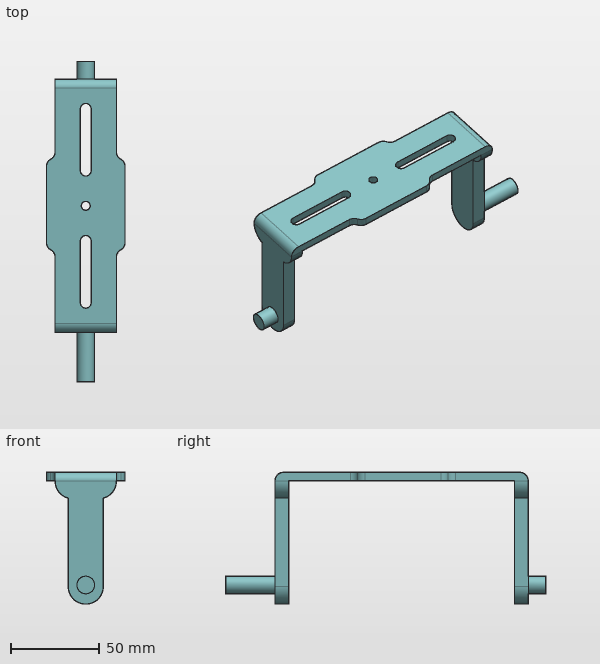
import cadquery as cq
import math

overall_length = 182.0
frame_length = 144.0
frame_height = 75.0
strap_width = 35.0
strap_thickness = 5.0
bend_radius = 5.1

middle_width = 44.8
middle_length = 43.3
middle_center_y = 0.7
step_length = 8.2

slot_width = 6.0
slot_length = 41.1
slot_spacing = 75.0
hole_diameter = 5.0

leg_width = 20.0
leg_thickness = 8.0
shoulder_radius = 10.0

pin_diameter = 10.0
pin_drop = 64.0
front_pin_length = 28.0
back_pin_length = overall_length - frame_length - front_pin_length


def step_arc_points(start, end):
    """Return a point on each arc and the joint of an S whose ends run along Y."""
    half_x = (end[0] - start[0]) / 2
    half_y = (end[1] - start[1]) / 2
    radius = (half_x**2 + half_y**2) / (2 * abs(half_x))
    half_angle = math.asin(abs(half_y) / radius) / 2
    bulge_x = math.copysign(radius * (1 - math.cos(half_angle)), half_x)
    bulge_y = math.copysign(radius * math.sin(half_angle), half_y)
    first = (start[0] + bulge_x, start[1] + bulge_y)
    joint = (start[0] + half_x, start[1] + half_y)
    last = (end[0] - bulge_x, end[1] - bulge_y)
    return first, joint, last


def add_step(outline, start, end):
    """Continue the outline from start to end with an S of two equal arcs."""
    first, joint, last = step_arc_points(start, end)
    return outline.threePointArc(first, joint).threePointArc(last, end)


def make_strap():
    narrow_x = strap_width / 2
    wide_x = middle_width / 2
    end_y = frame_length / 2
    wide_front = middle_center_y - middle_length / 2
    wide_back = middle_center_y + middle_length / 2
    step_front = wide_front - step_length
    step_back = wide_back + step_length

    outline = cq.Workplane("XY").moveTo(-narrow_x, -end_y).lineTo(narrow_x, -end_y)
    outline = outline.lineTo(narrow_x, step_front)
    outline = add_step(outline, (narrow_x, step_front), (wide_x, wide_front))
    outline = outline.lineTo(wide_x, wide_back)
    outline = add_step(outline, (wide_x, wide_back), (narrow_x, step_back))
    outline = outline.lineTo(narrow_x, end_y).lineTo(-narrow_x, end_y)
    outline = outline.lineTo(-narrow_x, step_back)
    outline = add_step(outline, (-narrow_x, step_back), (-wide_x, wide_back))
    outline = outline.lineTo(-wide_x, wide_front)
    outline = add_step(outline, (-wide_x, wide_front), (-narrow_x, step_front))
    return outline.close().extrude(-strap_thickness)


def make_leg(outer_y, inward):
    """Build a leg from its outer face, growing along the inward direction (+1 or -1)."""
    shoulder_x = strap_width / 2
    leg_x = leg_width / 2
    arc_center_x = shoulder_x - shoulder_radius
    arc_angle = math.acos((leg_x - arc_center_x) / shoulder_radius)
    arc_end_z = -bend_radius - shoulder_radius * math.sin(arc_angle)
    arc_middle_x = arc_center_x + shoulder_radius * math.cos(arc_angle / 2)
    arc_middle_z = -bend_radius - shoulder_radius * math.sin(arc_angle / 2)
    round_z = leg_x - frame_height

    return (
        cq.Workplane("XZ", origin=(0, outer_y, 0))
        .moveTo(-shoulder_x, 0)
        .lineTo(shoulder_x, 0)
        .lineTo(shoulder_x, -bend_radius)
        .threePointArc((arc_middle_x, arc_middle_z), (leg_x, arc_end_z))
        .lineTo(leg_x, round_z)
        .threePointArc((0, -frame_height), (-leg_x, round_z))
        .lineTo(-leg_x, arc_end_z)
        .threePointArc((-arc_middle_x, arc_middle_z), (-shoulder_x, -bend_radius))
        .close()
        .extrude(-inward * leg_thickness)
    )


def make_pin(outer_y, outward, length):
    """Build a pin that stands out from the outer face of a leg."""
    return (
        cq.Workplane("XZ", origin=(0, outer_y, -pin_drop))
        .circle(pin_diameter / 2)
        .extrude(-outward * length)
    )


def cut_openings(body):
    slots = (
        cq.Workplane("XY")
        .pushPoints([(0, -slot_spacing / 2), (0, slot_spacing / 2)])
        .slot2D(slot_length, slot_width, 90)
        .extrude(-strap_thickness)
    )
    hole = cq.Workplane("XY").circle(hole_diameter / 2).extrude(-strap_thickness)
    return body.cut(slots).cut(hole)


result = make_strap()
for side in (-1, 1):
    result = result.union(make_leg(side * frame_length / 2, -side))

for end_selector in ("<Y", ">Y"):
    result = result.faces(end_selector).edges(">Z").fillet(bend_radius)

result = cut_openings(result)
for side, length in ((-1, front_pin_length), (1, back_pin_length)):
    result = result.union(make_pin(side * frame_length / 2, side, length))